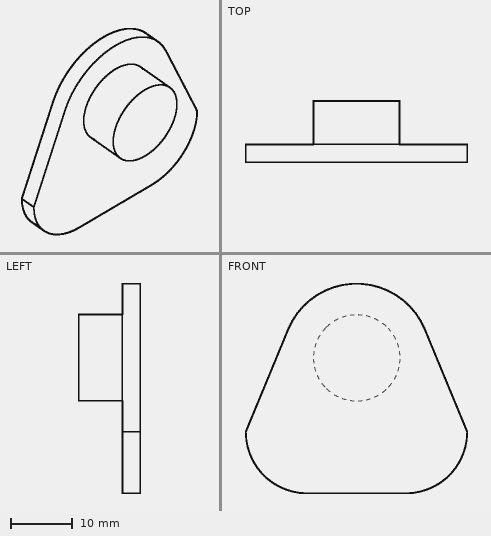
import cadquery as cq
import math

width = 35.92
height = 34.0
plate_thickness = 2.9

top_radius = 12.0
corner_radius = 10.0

total_depth = 10.0
boss_diameter = 14.0
boss_length = total_depth - plate_thickness

half_width = width / 2
bottom_z = top_radius - height
shoulder_z = bottom_z + corner_radius
flat_half = half_width - corner_radius
arc_mid_offset = corner_radius * math.sqrt(0.5)
arc_mid_x = flat_half + arc_mid_offset
arc_mid_z = shoulder_z - arc_mid_offset

shoulder_distance = math.hypot(half_width, shoulder_z)
tangent_angle = math.atan2(shoulder_z, half_width) + math.acos(top_radius / shoulder_distance)
tangent_x = top_radius * math.cos(tangent_angle)
tangent_z = top_radius * math.sin(tangent_angle)


def make_plate():
    """Rounded triangular plate, extruded from the front face toward +Y."""
    return (
        cq.Workplane("XZ")
        .moveTo(-flat_half, bottom_z)
        .lineTo(flat_half, bottom_z)
        .threePointArc((arc_mid_x, arc_mid_z), (half_width, shoulder_z))
        .lineTo(tangent_x, tangent_z)
        .threePointArc((0, top_radius), (-tangent_x, tangent_z))
        .lineTo(-half_width, shoulder_z)
        .threePointArc((-arc_mid_x, arc_mid_z), (-flat_half, bottom_z))
        .close()
        .extrude(-plate_thickness)
    )


def make_boss():
    """Solid cylinder standing on the back face of the plate."""
    return (
        cq.Workplane("XZ", origin=(0, plate_thickness, 0))
        .circle(boss_diameter / 2)
        .extrude(-boss_length)
    )


result = make_plate().union(make_boss())